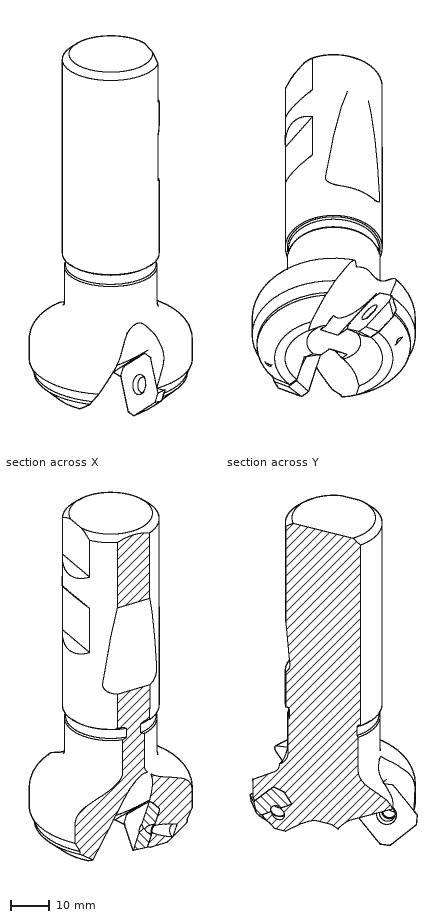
import cadquery as cq
import math


def tan_deg(angle):
    return math.tan(math.radians(angle))


def sin_deg(angle):
    return math.sin(math.radians(angle))


def cos_deg(angle):
    return math.cos(math.radians(angle))


overall_height = 98.0
shank_radius = 25.4 / 2
shank_bottom = 40.0
shank_chamfer_width = 1.8
shank_chamfer_height = 1.6

groove_radius = 23.7 / 2
groove_top = 39.4
groove_bottom = 36.7
groove_lip = 0.3
neck_radius = 24.3 / 2
neck_top = 36.2
neck_bottom = 25.9

head_radius = 21.4
head_cylinder_bottom = 9.3
head_blend_radius = 5.0
shoulder_tilt = 28.0
lower_band_radius = 20.1
lower_band_top = 6.4
lower_band_bottom = 5.5
base_radius = 15.5
base_z = 1.2

recess_mouth_radius = 12.7
recess_ceiling = 6.9

flat_y = 10.6
flat_collar_top = 83.2
flat_collar_bottom = 77.9
flat_lower_end = 60.35
tilted_flat_angle = 5.0
tilted_flat_top = 88.4
tilted_flat_bottom = 50.4
tilted_flat_fillet = 3.0

insert_count = 2
radial_rake = 13.5
axial_rake = 20.0
insert_width = 12.9
insert_depth = 13.9
insert_corner_cut = 1.9
insert_thickness = 4.0
side_relief = 20.0
corner_relief = 30.0
insert_center = cq.Vector(-14.0, -2.5, 7.7)

insert_hole_diameter = 4.1
insert_countersink_diameter = 5.3
insert_countersink_depth = 1.2
screw_hole_diameter = 3.5
screw_hole_depth = 10.9

channel_height = 4.5
channel_extension = 4.9
channel_side_gap = 0.3

flute_lean = 25.0
flute_opening = 31.0
flute_floor_radius = 4.2
flute_offset = 4.7
flute_reach = 39.2

rake_normal = cq.Vector(-tan_deg(radial_rake), 1, tan_deg(axial_rake)).normalized()
edge_direction = cq.Vector(1, tan_deg(radial_rake) + tan_deg(axial_rake), -1).normalized()
rake_plane = cq.Plane(origin=insert_center, xDir=edge_direction, normal=rake_normal)


def around_axis(solid):
    """Copies of a solid, equally spaced around Z."""
    step = 360 / insert_count
    return [solid.rotate((0, 0, 0), (0, 0, 1), i * step) for i in range(insert_count)]


def make_turned_blank():
    """The shank, neck and head, with two equal tangent blends joined by a sloping shoulder."""
    blend_drop = head_blend_radius * sin_deg(90 - shoulder_tilt)
    blend_width = head_blend_radius * (1 - cos_deg(90 - shoulder_tilt))
    half_turn = (90 - shoulder_tilt) / 2
    mid_drop = head_blend_radius * sin_deg(half_turn)
    mid_width = head_blend_radius * (1 - cos_deg(half_turn))
    shoulder_inner = neck_radius + blend_width
    shoulder_outer = head_radius - blend_width
    shoulder_top = neck_bottom - blend_drop
    shoulder_bottom = shoulder_top - (shoulder_outer - shoulder_inner) * tan_deg(shoulder_tilt)
    head_cylinder_top = shoulder_bottom - blend_drop
    return (
        cq.Workplane("XZ")
        .moveTo(0, base_z)
        .lineTo(base_radius, base_z)
        .lineTo(lower_band_radius, lower_band_bottom)
        .lineTo(lower_band_radius, lower_band_top)
        .lineTo(head_radius, head_cylinder_bottom)
        .lineTo(head_radius, head_cylinder_top)
        .threePointArc(
            (head_radius - mid_width, head_cylinder_top + mid_drop),
            (shoulder_outer, shoulder_bottom),
        )
        .lineTo(shoulder_inner, shoulder_top)
        .threePointArc((neck_radius + mid_width, neck_bottom - mid_drop), (neck_radius, neck_bottom))
        .lineTo(neck_radius, neck_top)
        .lineTo(groove_radius, groove_bottom)
        .lineTo(groove_radius, groove_top)
        .lineTo(groove_radius + groove_lip, shank_bottom)
        .lineTo(shank_radius, shank_bottom)
        .lineTo(shank_radius, overall_height - shank_chamfer_height)
        .lineTo(shank_radius - shank_chamfer_width, overall_height)
        .lineTo(0, overall_height)
        .close()
        .revolve(360, (0, 0), (0, 1))
    )


def make_recess():
    """A cone with a 45 degree wall and a flat ceiling."""
    ceiling_radius = recess_mouth_radius - (recess_ceiling - base_z)
    return (
        cq.Workplane("XZ")
        .moveTo(0, base_z)
        .lineTo(recess_mouth_radius, base_z)
        .lineTo(ceiling_radius, recess_ceiling)
        .lineTo(0, recess_ceiling)
        .close()
        .revolve(360, (0, 0), (0, 1))
    )


def make_stepped_flat():
    """Two flats in one plane, with 45 degree ends on either side of a collar."""
    depth = shank_radius - flat_y
    upper = [
        (flat_y, overall_height),
        (flat_y, flat_collar_top + depth),
        (shank_radius, flat_collar_top),
        (shank_radius, overall_height),
    ]
    lower = [
        (flat_y, flat_collar_bottom - depth),
        (flat_y, flat_lower_end + depth),
        (shank_radius, flat_lower_end),
        (shank_radius, flat_collar_bottom),
    ]
    profile = cq.Workplane("YZ").polyline(upper).close().polyline(lower).close()
    return profile.extrude(shank_radius, both=True)


def make_tilted_flat():
    """A flat that deepens downward and ends in a round fillet and a level wall."""
    fillet_center_z = tilted_flat_bottom + tilted_flat_fillet
    tangent_z = fillet_center_z + tilted_flat_fillet * sin_deg(tilted_flat_angle)
    tangent_x = -shank_radius + (tilted_flat_top - tangent_z) * tan_deg(tilted_flat_angle)
    fillet_center_x = tangent_x - tilted_flat_fillet * cos_deg(tilted_flat_angle)
    fillet_middle = (
        fillet_center_x + tilted_flat_fillet * cos_deg(45),
        fillet_center_z - tilted_flat_fillet * sin_deg(45),
    )
    return (
        cq.Workplane("XZ")
        .moveTo(-shank_radius, tilted_flat_top)
        .lineTo(tangent_x, tangent_z)
        .threePointArc(fillet_middle, (fillet_center_x, tilted_flat_bottom))
        .lineTo(-2 * shank_radius, tilted_flat_bottom)
        .lineTo(-2 * shank_radius, tilted_flat_top)
        .close()
        .extrude(shank_radius, both=True)
    )


def make_flute():
    """A slot whose axis lies in the rake plane and leans outward going up."""
    axis_y = -tan_deg(flute_lean)
    axis_x = (axis_y + tan_deg(axial_rake)) / tan_deg(radial_rake)
    axis = cq.Vector(axis_x, axis_y, 1).normalized()
    outward = axis.cross(rake_normal)
    center = insert_center - outward * flute_offset + rake_normal * flute_floor_radius
    plane = cq.Plane(origin=center, xDir=outward, normal=axis)
    radius = flute_floor_radius
    opening_x = flute_reach * cos_deg(flute_opening)
    opening_y = flute_reach * sin_deg(flute_opening)
    opposite = (-radius * sin_deg(flute_opening), -radius * cos_deg(flute_opening))
    return (
        cq.Workplane(plane)
        .moveTo(flute_reach, radius)
        .lineTo(0, radius)
        .threePointArc((-radius, 0), opposite)
        .lineTo(opposite[0] + opening_x, opposite[1] - opening_y)
        .close()
        .extrude(flute_reach, both=True)
    )


def make_plate():
    """The insert without its hole: tapered sides, and steeper tapered corner facets."""
    corner_width = ((insert_width + insert_depth) / 2 - insert_corner_cut) * math.sqrt(2)
    plate = (
        cq.Workplane(rake_plane)
        .rect(insert_width, insert_depth)
        .extrude(-insert_thickness, taper=side_relief)
    )
    corners = (
        cq.Workplane(rake_plane)
        .transformed(rotate=(0, 0, 45))
        .rect(corner_width, corner_width)
        .extrude(-insert_thickness, taper=corner_relief)
    )
    return plate.intersect(corners)


def make_insert():
    """The plate with a countersunk through hole."""
    hole = cq.Workplane(rake_plane).circle(insert_hole_diameter / 2).extrude(-insert_thickness)
    countersink = (
        cq.Workplane(rake_plane)
        .circle(insert_countersink_diameter / 2)
        .workplane(offset=-insert_countersink_depth)
        .circle(insert_hole_diameter / 2)
        .loft()
    )
    return make_plate().cut(hole).cut(countersink)


def make_pocket():
    """The seat of the insert, and a straight channel over it that runs on toward the axis."""
    channel_length = insert_width + channel_extension
    channel_width = insert_depth + 2 * channel_side_gap
    channel = (
        cq.Workplane(rake_plane)
        .center(channel_extension / 2, 0)
        .rect(channel_length, channel_width)
        .extrude(channel_height)
    )
    return make_plate().union(channel)


def make_screw_hole():
    """A blind hole square to the rake plane that just breaks out through the bottom chamfer."""
    return cq.Workplane(rake_plane).circle(screw_hole_diameter / 2).extrude(-screw_hole_depth)


def make_body():
    body = make_turned_blank().cut(make_recess()).cut(make_stepped_flat()).cut(make_tilted_flat())
    for cutter in (make_flute(), make_pocket(), make_screw_hole()):
        for tool in around_axis(cutter):
            body = body.cut(tool)
    return body


body = make_body()
inserts = around_axis(make_insert())
result = cq.Compound.makeCompound([body.solids().val(), *[insert.solids().val() for insert in inserts]])